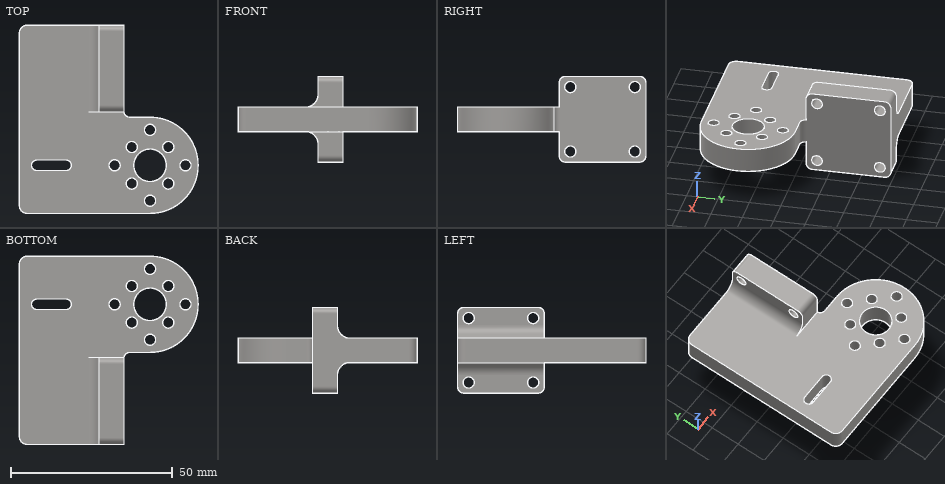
import cadquery as cq
import math

part_depth = 58.5
thickness = 7.8
nose_radius = 15.0
left_edge = -40.6
bottom_edge = -nose_radius
top_edge = bottom_edge + part_depth
plate_corner_radius = 2.5

flange_right = left_edge + 32.5
flange_left = flange_right - thickness
flange_length = 26.95
flange_height = 26.7
flange_corner_radius = 2.0
flange_fillet_radius = 4.0
flange_fillet_height = 3.85
inner_corner_radius = 1.75
flange_middle_y = top_edge - flange_length / 2

screw_diameter = 3.4
bore_diameter = 10.0
straight_bolt_radius = 11.0
diagonal_bolt_radius = 8.0
flange_hole_spacing = 20.0
slot_length = 12.3
slot_width = 3.15
slot_middle_x = left_edge + 10.0


def centred_extrude(profile, height):
    return profile.extrude(height / 2, both=True)


def make_plate():
    outline = (
        cq.Workplane("XY")
        .moveTo(left_edge, bottom_edge)
        .lineTo(0, bottom_edge)
        .threePointArc((nose_radius, 0), (0, nose_radius))
        .lineTo(flange_right, nose_radius)
        .lineTo(flange_right, top_edge)
        .lineTo(left_edge, top_edge)
        .close()
    )
    plate = centred_extrude(outline, thickness)
    plate = plate.edges("|Z and <X").fillet(plate_corner_radius)
    inner_corner = cq.selectors.NearestToPointSelector((flange_right, nose_radius, 0))
    return plate.edges(inner_corner).fillet(inner_corner_radius)


def make_flange():
    block = cq.Workplane("XY").box(thickness, flange_length, flange_height)
    block = block.edges("|X").fillet(flange_corner_radius)
    return block.translate((flange_right - thickness / 2, flange_middle_y, 0))


def make_root_fillet(side):
    """Concave fillet between the flange and the plate; side is 1 above the plate, -1 below."""
    surface = side * thickness / 2
    arc_end = surface + side * flange_fillet_height
    arc_centre_x = flange_left - flange_fillet_radius
    toe_x = arc_centre_x + math.sqrt(flange_fillet_radius**2 - flange_fillet_height**2)
    diagonal = flange_fillet_radius * math.sqrt(0.5)
    profile = (
        cq.Workplane("XZ", origin=(0, flange_middle_y, 0))
        .moveTo(flange_left, surface)
        .lineTo(toe_x, surface)
        .threePointArc(
            (arc_centre_x + diagonal, arc_end - side * diagonal),
            (flange_left, arc_end),
        )
        .close()
    )
    return centred_extrude(profile, flange_length)


def make_plate_holes():
    plane = cq.Workplane("XY")
    holes = centred_extrude(plane.circle(bore_diameter / 2), thickness)
    for bolt_radius, start_angle in ((straight_bolt_radius, 0), (diagonal_bolt_radius, 45)):
        ring = plane.polarArray(bolt_radius, start_angle, 360, 4).circle(screw_diameter / 2)
        holes = holes.union(centred_extrude(ring, thickness))
    slot = plane.center(slot_middle_x, 0).slot2D(slot_length, slot_width)
    return holes.union(centred_extrude(slot, thickness))


def make_flange_holes():
    """Four screw holes along X, starting clear of the root fillets."""
    return (
        cq.Workplane("YZ", origin=(flange_left - flange_fillet_radius, flange_middle_y, 0))
        .rect(flange_hole_spacing, flange_hole_spacing, forConstruction=True)
        .vertices()
        .circle(screw_diameter / 2)
        .extrude(thickness + flange_fillet_radius)
    )


body = make_plate().union(make_flange())
for side in (1, -1):
    body = body.union(make_root_fillet(side))

result = body.cut(make_plate_holes()).cut(make_flange_holes())